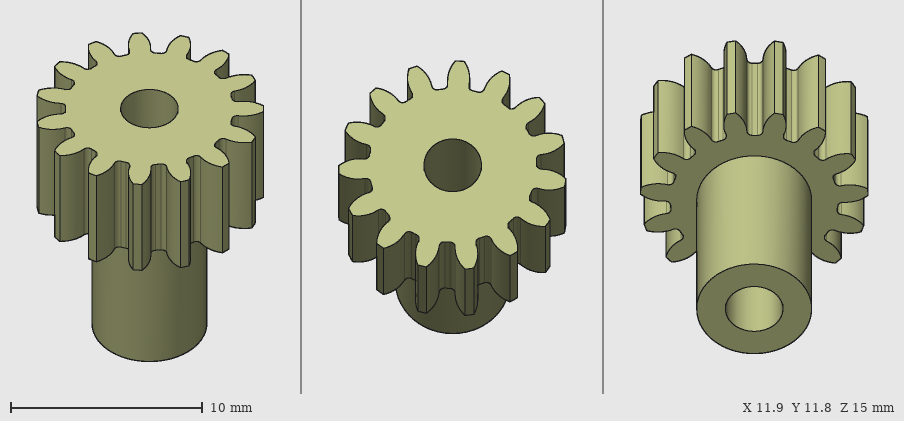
import cadquery as cq
import math

TOTAL_HEIGHT = 15.0
GEAR_WIDTH = 6.0
HUB_DIAMETER = 6.0
BORE_DIAMETER = 3.0

TOOTH_COUNT = 15
PITCH_DIAMETER = 10.5
PRESSURE_ANGLE = math.radians(20)
DEDENDUM_FACTOR = 1.25
ROOT_FILLET_FACTOR = 0.39
FIRST_TOOTH_ANGLE = math.radians(-90)

HUB_LENGTH = TOTAL_HEIGHT - GEAR_WIDTH
MODULE = PITCH_DIAMETER / TOOTH_COUNT
PITCH_RADIUS = PITCH_DIAMETER / 2
TIP_RADIUS = PITCH_RADIUS + MODULE
ROOT_RADIUS = PITCH_RADIUS - DEDENDUM_FACTOR * MODULE
BASE_RADIUS = PITCH_RADIUS * math.cos(PRESSURE_ANGLE)
ROOT_FILLET = ROOT_FILLET_FACTOR * MODULE
TOOTH_PITCH = 2 * math.pi / TOOTH_COUNT


def polar(radius, angle):
    return (radius * math.cos(angle), radius * math.sin(angle))


def involute(angle):
    return math.tan(angle) - angle


def involute_half_angle(radius):
    """Half of the angle that an involute tooth spans at a radius."""
    pressure_angle_here = math.acos(BASE_RADIUS / radius)
    return TOOTH_PITCH / 4 + involute(PRESSURE_ANGLE) - involute(pressure_angle_here)


TIP_HALF_ANGLE = involute_half_angle(TIP_RADIUS)
PITCH_HALF_ANGLE = involute_half_angle(PITCH_RADIUS)
BASE_HALF_ANGLE = involute_half_angle(BASE_RADIUS)

FILLET_CENTER_RADIUS = ROOT_RADIUS + ROOT_FILLET
FILLET_HALF_ANGLE = BASE_HALF_ANGLE + math.asin(ROOT_FILLET / FILLET_CENTER_RADIUS)
FILLET_SWEEP = math.acos(ROOT_FILLET / FILLET_CENTER_RADIUS)
FLANK_FOOT_RADIUS = math.sqrt(FILLET_CENTER_RADIUS**2 - ROOT_FILLET**2)


def fillet_middle(tooth_angle, side):
    """Middle point of the root fillet on one side (-1 or +1) of a tooth."""
    center_angle = tooth_angle + side * FILLET_HALF_ANGLE
    center_x, center_y = polar(FILLET_CENTER_RADIUS, center_angle)
    offset_x, offset_y = polar(ROOT_FILLET, center_angle + math.pi + side * FILLET_SWEEP / 2)
    return (center_x + offset_x, center_y + offset_y)


def add_tooth(outline, angle):
    """Extend the outline over one tooth and along the root to the next tooth."""
    next_angle = angle + TOOTH_PITCH
    outline = outline.threePointArc(
        fillet_middle(angle, -1), polar(FLANK_FOOT_RADIUS, angle - BASE_HALF_ANGLE)
    )
    outline = outline.threePointArc(
        polar(PITCH_RADIUS, angle - PITCH_HALF_ANGLE), polar(TIP_RADIUS, angle - TIP_HALF_ANGLE)
    )
    outline = outline.threePointArc(
        polar(TIP_RADIUS, angle), polar(TIP_RADIUS, angle + TIP_HALF_ANGLE)
    )
    outline = outline.threePointArc(
        polar(PITCH_RADIUS, angle + PITCH_HALF_ANGLE),
        polar(FLANK_FOOT_RADIUS, angle + BASE_HALF_ANGLE),
    )
    outline = outline.threePointArc(
        fillet_middle(angle, 1), polar(ROOT_RADIUS, angle + FILLET_HALF_ANGLE)
    )
    return outline.threePointArc(
        polar(ROOT_RADIUS, angle + TOOTH_PITCH / 2),
        polar(ROOT_RADIUS, next_angle - FILLET_HALF_ANGLE),
    )


def make_gear():
    start = polar(ROOT_RADIUS, FIRST_TOOTH_ANGLE - FILLET_HALF_ANGLE)
    outline = cq.Workplane("XY").workplane(offset=HUB_LENGTH).moveTo(*start)
    for tooth in range(TOOTH_COUNT):
        outline = add_tooth(outline, FIRST_TOOTH_ANGLE + tooth * TOOTH_PITCH)
    return outline.close().extrude(GEAR_WIDTH)


def make_cylinder(diameter, length):
    return cq.Workplane("XY").circle(diameter / 2).extrude(length)


gear = make_gear()
hub = make_cylinder(HUB_DIAMETER, HUB_LENGTH)
bore = make_cylinder(BORE_DIAMETER, TOTAL_HEIGHT)

result = gear.union(hub).cut(bore)